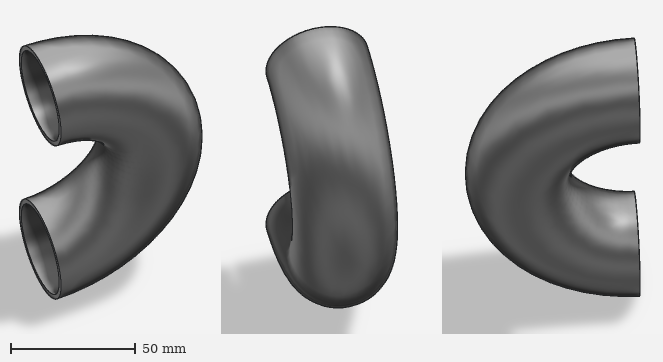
import cadquery as cq

tube_outer_diameter = 42.4
wall_thickness = 2.0
bend_radius = 48.0
bend_angle = 180.0

tube_inner_diameter = tube_outer_diameter - 2 * wall_thickness


def tube_bend():
    """Sweep the tube's ring section about the X axis, from the top end through +Y to the bottom end."""
    ring_section = (
        cq.Workplane("XZ")
        .center(0, bend_radius)
        .circle(tube_outer_diameter / 2)
        .circle(tube_inner_diameter / 2)
    )
    axis_start = (0, -bend_radius)
    axis_end = (-1, -bend_radius)
    return ring_section.revolve(bend_angle, axis_start, axis_end)


result = tube_bend()